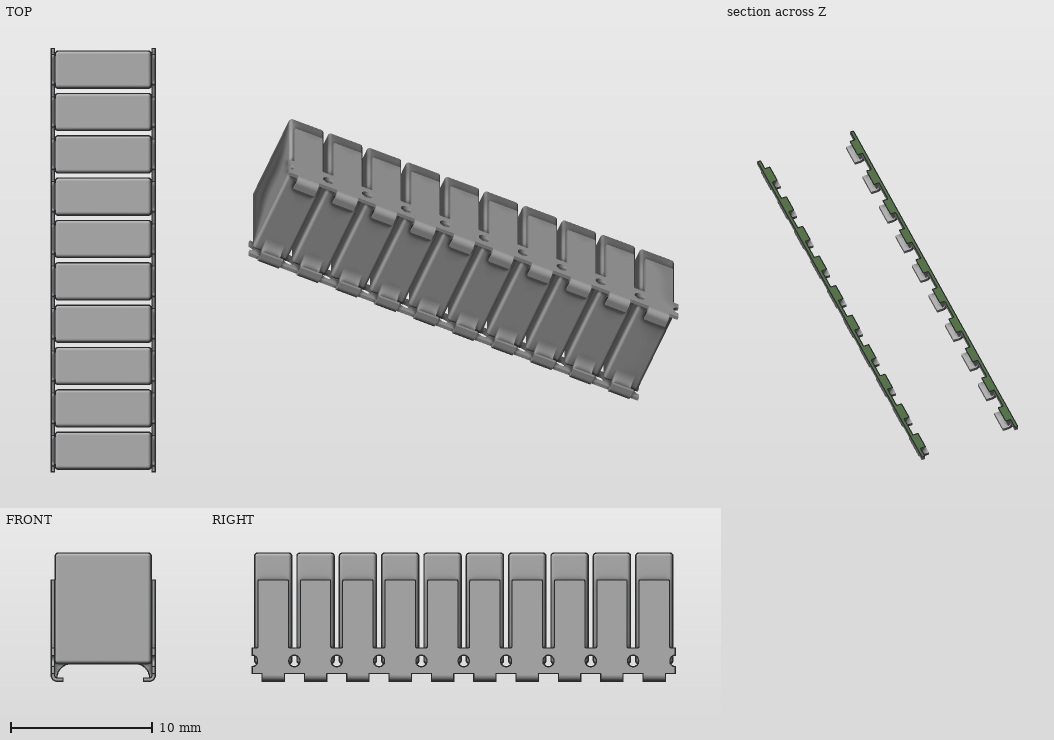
import cadquery as cq

block_count = 10
pitch = 3.0
row_length = block_count * pitch

overall_width = 7.4
overall_height = 9.1

sheet = 0.25
strip_top = 7.2
slot_floor = 2.38
slot_width = 0.85
corner_radius = 0.1
hole_diameter = 0.8
hole_height = 1.45
strip_bottom = 0.55

foot_width = 1.6
foot_reach = 0.85
bend_radius = 0.45

block_width = 6.82
block_length = 2.65
block_bottom = 1.25
block_fillet = 0.23

leg_width = 1.4
leg_thickness = 0.17
leg_fillet = block_bottom - sheet

outer_face = overall_width / 2
inner_face = outer_face - sheet
pad_width = pitch - slot_width - 2 * corner_radius
leg_inner = inner_face - leg_thickness
unit_centers = [(i - (block_count - 1) / 2) * pitch for i in range(block_count)]
gap_centers = [(i - block_count / 2) * pitch for i in range(block_count + 1)]


def box(x_min, x_max, y_center, y_size, z_min, z_max):
    """Axis-aligned box, centred on y_center along the row."""
    size = (x_max - x_min, y_size, z_max - z_min)
    middle = ((x_min + x_max) / 2, y_center, (z_min + z_max) / 2)
    return cq.Workplane("XY").box(*size).translate(middle)


def extrude_section(section, y_center, y_size):
    """Extrude an XZ outline by y_size, centred on y_center."""
    return section.extrude(y_size / 2, both=True).translate((0, y_center, 0))


def make_block(y):
    """Block with all edges rounded."""
    half = block_width / 2
    body = box(-half, half, y, block_length, block_bottom, overall_height)
    return body.edges().fillet(block_fillet)


def make_leg(y):
    """Leg on the +X side whose inner face curves into the underside of the block."""
    section = (
        cq.Workplane("XZ")
        .moveTo(inner_face, sheet)
        .lineTo(leg_inner, sheet)
        .radiusArc((leg_inner - leg_fillet, block_bottom), -leg_fillet)
        .lineTo(leg_inner - leg_fillet, block_bottom + block_fillet)
        .lineTo(inner_face, block_bottom + block_fillet)
        .close()
    )
    return extrude_section(section, y, leg_width)


def make_foot(y):
    """Foot on the +X side: the strip bends inward to lie flat at the base."""
    section = (
        cq.Workplane("XZ")
        .moveTo(outer_face, strip_bottom)
        .lineTo(outer_face, bend_radius)
        .radiusArc((outer_face - bend_radius, 0), bend_radius)
        .lineTo(outer_face - foot_reach, 0)
        .lineTo(outer_face - foot_reach, sheet)
        .lineTo(outer_face - bend_radius, sheet)
        .radiusArc((inner_face, bend_radius), -(bend_radius - sheet))
        .lineTo(inner_face, strip_bottom)
        .close()
    )
    return extrude_section(section, y, foot_width)


def make_strip():
    """Side strip on the +X side: slotted into one finger per block, with a hole below each slot."""
    strip = box(inner_face, outer_face, 0, row_length, strip_bottom, strip_top)
    for y in gap_centers:
        slot = box(inner_face, outer_face, y, slot_width, slot_floor, strip_top + corner_radius)
        slot = slot.edges("|X and <Z").fillet(corner_radius)
        hole = (
            cq.Workplane("YZ", origin=(inner_face, y, hole_height))
            .circle(hole_diameter / 2)
            .extrude(sheet)
        )
        strip = strip.cut(slot).cut(hole)
    return strip.edges("|X and >Z").fillet(corner_radius)


def make_pad(y):
    """Pad on the +X side that fills the gap between a finger and its block."""
    return box(block_width / 2, inner_face, y, pad_width, block_bottom, strip_top)


def make_side():
    """Complete +X side: strip, feet, legs and pads."""
    side = make_strip()
    for y in unit_centers:
        side = side.union(make_foot(y)).union(make_leg(y)).union(make_pad(y))
    return side


side = make_side()
result = side.union(side.mirror("YZ"))
for y in unit_centers:
    result = result.union(make_block(y))